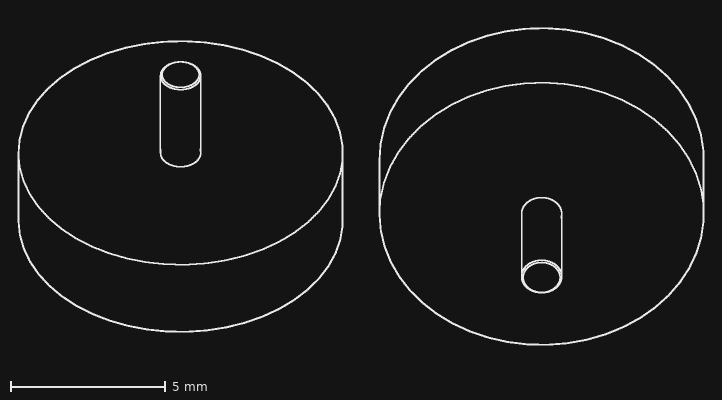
import cadquery as cq

disc_diameter = 10.5
disc_thickness = 3.0
pin_diameter = 1.3
pin_length = 10.0
pin_chamfer = 0.05

disc = cq.Workplane("XY").cylinder(disc_thickness, disc_diameter / 2)

pin = (
    cq.Workplane("XY")
    .cylinder(pin_length, pin_diameter / 2)
    .faces("|Z")
    .edges()
    .chamfer(pin_chamfer)
)

result = disc.union(pin)